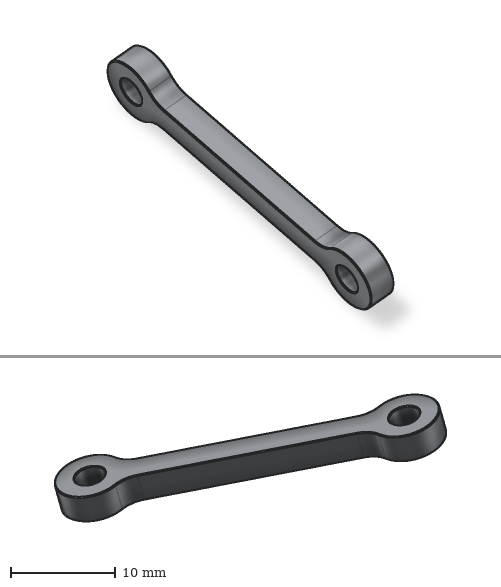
import cadquery as cq
import math

total_length = 38.0
eye_diameter = 7.0
thickness = 3.0
bar_height = 3.0
hole_diameter = 3.0
neck_radius = 3.0
edge_break = 0.1

eye_radius = eye_diameter / 2
eye_x = total_length / 2 - eye_radius
bar_half = bar_height / 2

neck_center_z = bar_half + neck_radius
center_distance = eye_radius + neck_radius
neck_offset = math.sqrt(center_distance**2 - neck_center_z**2)
neck_end_x = eye_x - neck_offset
eye_tangent_x = eye_x - neck_offset * eye_radius / center_distance
eye_tangent_z = neck_center_z * eye_radius / center_distance

neck_mid_angle = math.atan2(neck_offset, neck_center_z) / 2
neck_mid_x = neck_end_x + neck_radius * math.sin(neck_mid_angle)
neck_mid_z = neck_center_z - neck_radius * math.cos(neck_mid_angle)


def link_body():
    """Bar with a round eye at each end, extruded symmetrically along Y."""
    return (
        cq.Workplane("XZ")
        .moveTo(-neck_end_x, bar_half)
        .lineTo(neck_end_x, bar_half)
        .threePointArc((neck_mid_x, neck_mid_z), (eye_tangent_x, eye_tangent_z))
        .threePointArc((eye_x + eye_radius, 0), (eye_tangent_x, -eye_tangent_z))
        .threePointArc((neck_mid_x, -neck_mid_z), (neck_end_x, -bar_half))
        .lineTo(-neck_end_x, -bar_half)
        .threePointArc((-neck_mid_x, -neck_mid_z), (-eye_tangent_x, -eye_tangent_z))
        .threePointArc((-eye_x - eye_radius, 0), (-eye_tangent_x, eye_tangent_z))
        .threePointArc((-neck_mid_x, neck_mid_z), (-neck_end_x, bar_half))
        .close()
        .extrude(thickness / 2, both=True)
    )


def eye_holes():
    """Through holes concentric with the two eyes."""
    return (
        cq.Workplane("XZ")
        .pushPoints([(-eye_x, 0), (eye_x, 0)])
        .circle(hole_diameter / 2)
        .extrude(thickness, both=True)
    )


result = link_body().cut(eye_holes()).faces("<Y or >Y").edges().chamfer(edge_break)